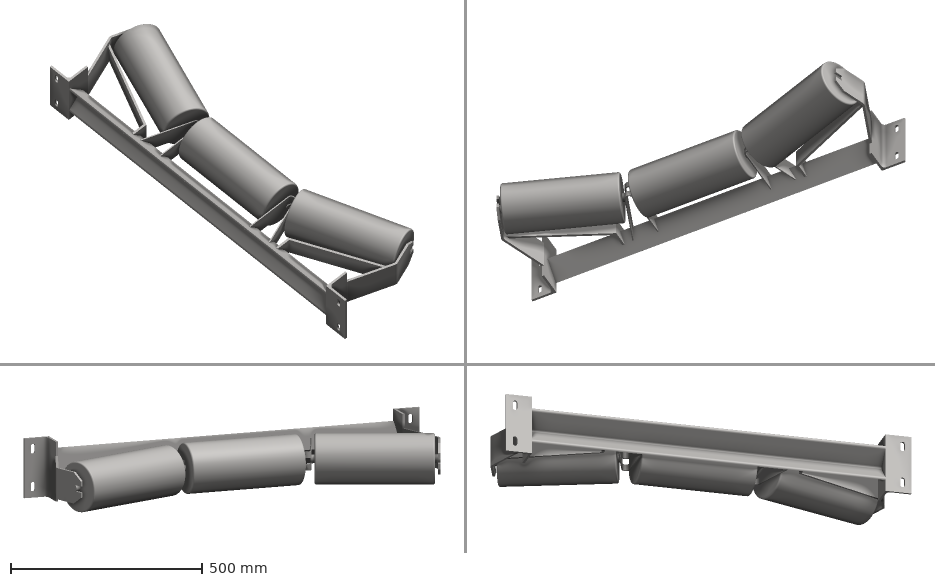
import cadquery as cq
import math


frame_length = 1100.0
foot_leg = 70.0
foot_thickness = 7.0
foot_width = 160.0
foot_root_radius = 10.0
slot_length = 26.0
slot_width = 12.0
slot_inset = 24.0
slot_spacing = 101.0

beam_leg = 68.0
beam_thickness = 7.0
beam_root_radius = 5.0
beam_apex_y = 52.0

trough_angle = 20.0
roller_length = 315.0
roller_radius = 67.0
roller_edge_radius = 4.0
shaft_diameter = 23.0
shaft_flat_width = 16.0
end_gap = 8.0
centre_roller_y = 151.0
side_roller_x = 350.0
side_roller_y = 212.0

arm_thickness = 7.0
arm_width = 84.0
arm_tip_width = 44.0
arm_taper_length = 29.0
arm_tip_above_shaft = 30.0
knee_radius = 16.0

strut_thickness = 7.0
strut_width = 53.0
strut_angle = 25.0
strut_inner_x = -265.0
strut_bend_y = 74.0
strut_end_x = -526.0

saddle_thickness = 3.0
saddle_width = 51.0
saddle_fold_radius = 12.0
saddle_slot_depth = 16.0

plate_bottom_y = 28.0

trough = math.radians(trough_angle)
slope = math.tan(trough)
shaft_radius = shaft_diameter / 2
seat_distance = roller_length / 2 + end_gap
beam_length = frame_length - 2 * foot_leg


def plate(points, width):
    """Plate with the given XY outline, centred on Z = 0."""
    return cq.Workplane("XY").polyline(points).close().extrude(width / 2, both=True)


def bar_along_x(radius, start_x, end_x):
    return cq.Workplane("YZ", origin=(start_x, 0, 0)).circle(radius).extrude(end_x - start_x)


def edge_at(x, y):
    """Selector for the edge along Z that passes closest to an XY point."""
    return cq.selectors.NearestToPointSelector((x, y, 0))


def side_axis_point(along, above=0.0):
    """XY point at a distance outwards along the left side roller's axis, and above it."""
    return (
        -side_roller_x - along * math.cos(trough) + above * math.sin(trough),
        side_roller_y + along * math.sin(trough) + above * math.cos(trough),
    )


def on_centre_axis(body):
    return body.translate((0, centre_roller_y, 0))


def on_left_axis(body):
    """Move a body lying along the X axis onto the axis of the left side roller."""
    turned = body.rotate((0, 0, 0), (0, 0, 1), -trough_angle)
    return turned.translate((-side_roller_x, side_roller_y, 0))


def mirrored(body):
    return body.mirror("YZ")


def make_roller():
    half_length = roller_length / 2
    drum = bar_along_x(roller_radius, -half_length, half_length)
    drum = drum.edges("%CIRCLE").fillet(roller_edge_radius)
    return drum.cut(bar_along_x(shaft_radius, -half_length, half_length))


def make_flatted_bar(start_x, end_x):
    bar = bar_along_x(shaft_radius, start_x, end_x)
    length = end_x - start_x
    between_flats = cq.Workplane("XY").box(
        length, 2 * shaft_radius, shaft_flat_width, centered=(False, True, True)
    )
    return bar.intersect(between_flats.translate((start_x, 0, 0)))


def make_shaft(left_seat, right_seat):
    """Shaft whose flatted ends are as long as the plates at its -X and +X ends are thick."""
    middle = bar_along_x(shaft_radius, -seat_distance, seat_distance)
    left_end = make_flatted_bar(-seat_distance - left_seat, -seat_distance)
    right_end = make_flatted_bar(seat_distance, seat_distance + right_seat)
    return middle.union(left_end).union(right_end)


def make_shaft_slot(start_x, end_x):
    """Cutter for a flatted shaft end and the way in to it from above."""
    way_in = cq.Workplane("XY").box(
        end_x - start_x, roller_radius, shaft_flat_width, centered=(False, False, True)
    )
    return make_flatted_bar(start_x, end_x).union(way_in.translate((start_x, 0, 0)))


def make_beam_angle():
    straight_leg = beam_leg - beam_thickness
    toe_middle = beam_thickness * math.sqrt(0.5)
    beam = (
        cq.Workplane("YZ")
        .lineTo(beam_leg, 0)
        .threePointArc((straight_leg + toe_middle, toe_middle), (straight_leg, beam_thickness))
        .lineTo(beam_thickness, beam_thickness)
        .lineTo(beam_thickness, straight_leg)
        .threePointArc((toe_middle, straight_leg + toe_middle), (0, beam_leg))
        .close()
        .extrude(beam_length / 2, both=True)
    )
    root = cq.selectors.NearestToPointSelector((0, beam_thickness, beam_thickness))
    beam = beam.edges("|X").edges(root).fillet(beam_root_radius)
    corner_up_angle = 135
    return beam.rotate((0, 0, 0), (1, 0, 0), corner_up_angle).translate((0, beam_apex_y, 0))


def make_beam_notch():
    """Cutter that seats a plate astride the beam: everything under the beam's flanks."""
    wedge = [(beam_apex_y, 0), (0, beam_apex_y), (0, -beam_apex_y)]
    return cq.Workplane("YZ").polyline(wedge).close().extrude(beam_length / 2, both=True)


def make_saddle_wedge(inset):
    """Solid between the saddle's two legs, shrunk by the inset, with its fold rounded."""
    seat_x, seat_y = side_axis_point(-seat_distance)
    upright_x = -seat_distance - inset
    leaning_x = seat_x - (seat_y - plate_bottom_y) * slope + inset / math.cos(trough)
    fold_y = plate_bottom_y + (upright_x - leaning_x) / slope
    wedge = plate(
        [(leaning_x, plate_bottom_y), (upright_x, plate_bottom_y), (upright_x, fold_y)], saddle_width
    )
    return wedge.edges("|Z").edges(edge_at(upright_x, fold_y)).fillet(saddle_fold_radius - inset)


def make_saddle():
    saddle = make_saddle_wedge(0).cut(make_saddle_wedge(saddle_thickness))
    slot_end = seat_distance + saddle_slot_depth
    saddle = saddle.cut(on_centre_axis(make_shaft_slot(-slot_end, -seat_distance)))
    saddle = saddle.cut(on_left_axis(make_shaft_slot(seat_distance, slot_end)))
    return saddle.cut(make_beam_notch())


def make_beam():
    """Beam with its two saddles welded on."""
    saddle = make_saddle()
    return make_beam_angle().union(saddle).union(mirrored(saddle))


def make_foot():
    outer_x = -frame_length / 2
    inner_x = outer_x + foot_leg
    face_x = inner_x - foot_thickness
    foot = plate(
        [
            (outer_x, 0),
            (inner_x, 0),
            (inner_x, foot_leg),
            (face_x, foot_leg),
            (face_x, foot_thickness),
            (outer_x, foot_thickness),
        ],
        foot_width,
    )
    foot = foot.edges("|Z").edges(edge_at(face_x, foot_thickness)).fillet(foot_root_radius)
    slots = (
        cq.Workplane("XZ")
        .pushPoints([(outer_x + slot_inset, side * slot_spacing / 2) for side in (-1, 1)])
        .slot2D(slot_length, slot_width, 90)
        .extrude(-foot_thickness)
    )
    return foot.cut(slots)


def make_arm():
    """Plate that leans out from the foot's top edge to a knee, then in, square to the side roller."""
    base_x = -frame_length / 2 + foot_leg
    seat_x, seat_y = side_axis_point(seat_distance)
    knee_y = (foot_leg + seat_y - (seat_x - base_x) / slope) / 2
    knee_x = base_x - (knee_y - foot_leg) * slope
    shift = arm_thickness / math.cos(trough)
    tip_distance = seat_distance + arm_thickness
    arm = plate(
        [
            (base_x, foot_leg),
            (knee_x, knee_y),
            side_axis_point(seat_distance, arm_tip_above_shaft),
            side_axis_point(tip_distance, arm_tip_above_shaft),
            (knee_x - shift, knee_y),
            (base_x - shift, foot_leg),
        ],
        arm_width,
    )
    arm = arm.edges("|Z").edges(edge_at(knee_x, knee_y)).fillet(knee_radius - arm_thickness)
    arm = arm.edges("|Z").edges(edge_at(knee_x - shift, knee_y)).fillet(knee_radius)
    arm = arm.cut(on_left_axis(make_shaft_slot(-tip_distance, -seat_distance)))
    return arm.cut(on_left_axis(make_arm_tip_corners()))


def make_arm_tip_corners():
    """Cutter for the two corners at the tip of the arm."""
    tip_y = arm_tip_above_shaft
    corners = cq.Workplane("YZ")
    for side in (-1, 1):
        corners = (
            corners.moveTo(tip_y, side * arm_tip_width / 2)
            .lineTo(tip_y, side * arm_width / 2)
            .lineTo(tip_y - arm_taper_length, side * arm_width / 2)
            .close()
        )
    return corners.extrude(-seat_distance - roller_radius)


def make_strut():
    """Bent plate from the beam up to the arm, just below its knee."""
    rise = math.tan(math.radians(strut_angle))
    drop = strut_thickness / math.cos(math.radians(strut_angle))
    outer_x = strut_inner_x - strut_thickness
    top_y = strut_bend_y + (strut_inner_x - strut_end_x) * rise
    outer_bend_y = strut_bend_y + strut_thickness * rise - drop
    strut = plate(
        [
            (strut_inner_x, plate_bottom_y),
            (strut_inner_x, strut_bend_y),
            (strut_end_x, top_y),
            (strut_end_x, top_y - drop),
            (outer_x, outer_bend_y),
            (outer_x, plate_bottom_y),
        ],
        strut_width,
    )
    return strut.cut(make_beam_notch())


def make_end_support():
    return make_foot().union(make_arm()).union(make_strut())


beam = make_beam()
left_support = make_end_support()
end_supports = [left_support, mirrored(left_support)]

left_roller = on_left_axis(make_roller())
rollers = [left_roller, on_centre_axis(make_roller()), mirrored(left_roller)]

left_shaft = on_left_axis(make_shaft(arm_thickness, saddle_thickness))
centre_shaft = on_centre_axis(make_shaft(saddle_thickness, saddle_thickness))
shafts = [left_shaft, centre_shaft, mirrored(left_shaft)]

bodies = [beam, *end_supports, *rollers, *shafts]
result = cq.Compound.makeCompound([body.solids().val() for body in bodies])